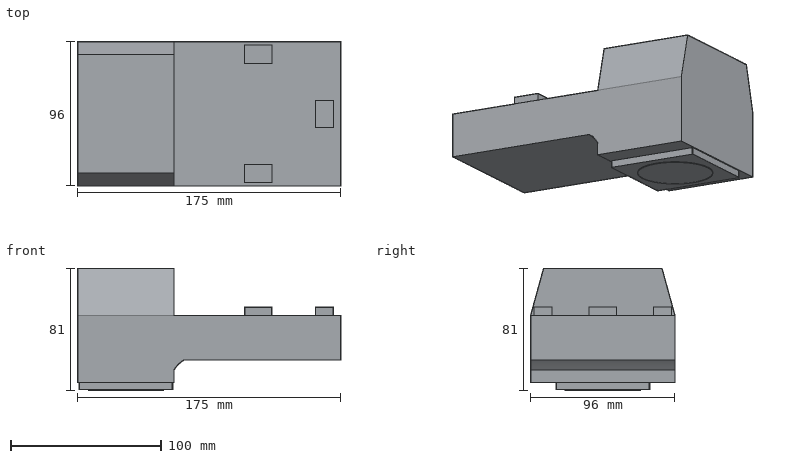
import cadquery as cq
import math

length = 175.0
width = 96.0
height = 81.0
head_length = 64.0
deck_top = 49.9
deck_bottom = 20.1
relief = 6.6
relief_diameter = 39.2
bevel_inset = 8.5

mount_side = 62.5
mount_height = 4.5
mount_corner_chamfer = 0.5
disc_diameter = 50.0
disc_height = 0.5
head_bottom = disc_height + mount_height

block_long = 18.0
block_short = 12.0
block_height = 5.5
side_block_x = 120.0
side_block_gap = 2.3
end_block_gap = 4.9


def make_body():
    """Head and deck, extruded across the full width."""
    half_chord = relief / math.sqrt(2)
    relief_radius = relief_diameter / 2
    arc_rise = relief_radius - math.sqrt(relief_radius**2 - half_chord**2)
    arc_shift = relief / 2 - arc_rise / math.sqrt(2)
    arc_middle = (head_length + arc_shift, deck_bottom - arc_shift)
    profile = (
        cq.Workplane("XZ")
        .moveTo(0, head_bottom)
        .lineTo(head_length, head_bottom)
        .lineTo(head_length, deck_bottom - relief)
        .threePointArc(arc_middle, (head_length + relief, deck_bottom))
        .lineTo(length, deck_bottom)
        .lineTo(length, deck_top)
        .lineTo(0, deck_top)
        .close()
    )
    return profile.extrude(width / 2, both=True)


def make_head_top():
    """Tapered upper head with leaning sides and upright ends."""
    base_half = width / 2
    top_half = base_half - bevel_inset
    section = [
        (-base_half, deck_top),
        (base_half, deck_top),
        (top_half, height),
        (-top_half, height),
    ]
    return cq.Workplane("YZ").polyline(section).close().extrude(head_length)


def make_mount():
    """Square plate with chamfered corners and a thin round face below it."""
    base = cq.Workplane("XY").center(head_length / 2, 0)
    disc = base.circle(disc_diameter / 2).extrude(head_bottom)
    plate = (
        base.workplane(offset=disc_height)
        .rect(mount_side, mount_side)
        .extrude(mount_height)
        .edges("|Z")
        .chamfer(mount_corner_chamfer)
    )
    return plate.union(disc)


def make_block(x, y, size_x, size_y):
    """Rectangular block standing on the deck."""
    return (
        cq.Workplane("XY", origin=(x, y, deck_top))
        .rect(size_x, size_y)
        .extrude(block_height)
    )


result = make_body().union(make_head_top()).union(make_mount())

side_block_y = width / 2 - side_block_gap - block_short / 2
for side in (-1, 1):
    result = result.union(make_block(side_block_x, side * side_block_y, block_long, block_short))

end_block_x = length - end_block_gap - block_short / 2
result = result.union(make_block(end_block_x, 0, block_short, block_long)).clean()